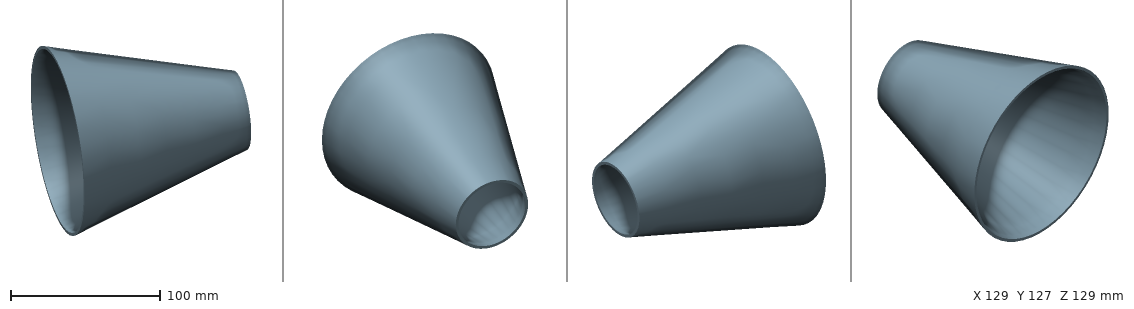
import cadquery as cq

length = 127.0
wide_diameter = 129.0
narrow_diameter = 53.9
wall = 2.0

wide_radius = wide_diameter / 2
narrow_radius = narrow_diameter / 2

wall_section = (
    cq.Workplane("XY")
    .moveTo(wide_radius - wall, 0)
    .lineTo(wide_radius, 0)
    .lineTo(narrow_radius, length)
    .lineTo(narrow_radius - wall, length)
    .close()
)

result = wall_section.revolve(360, (0, 0, 0), (0, 1, 0))